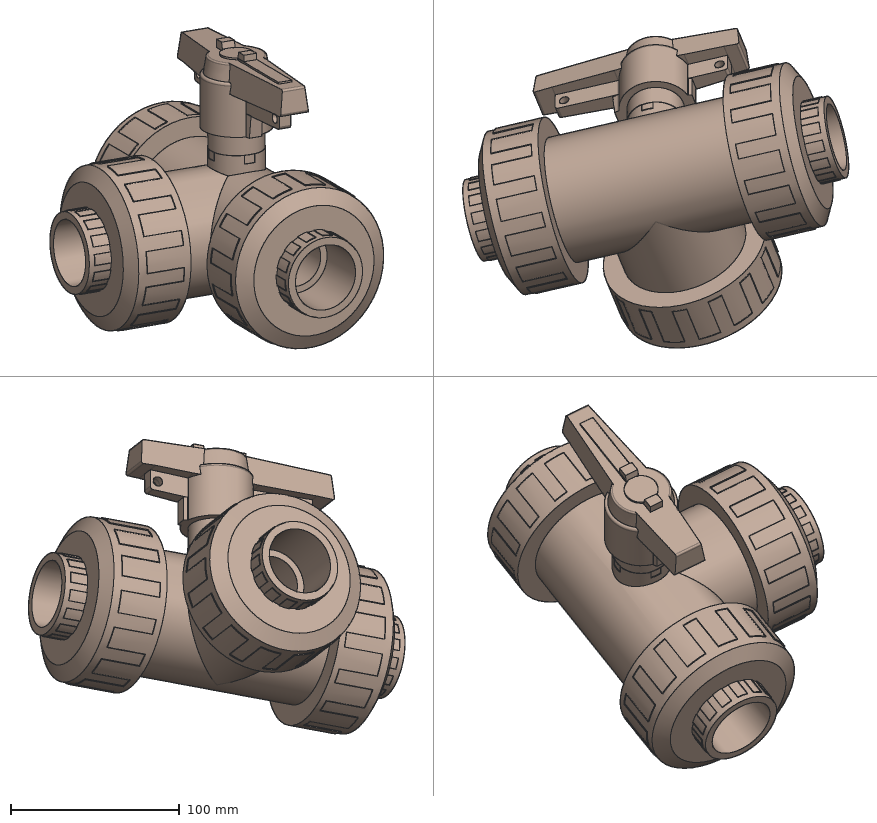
import cadquery as cq


port_reach = 112.0
body_radius = 38.0
bore_radius = 16.0
socket_radius = 20.2
socket_depth = 35.8
port_angles = (0, 90, 180)
overlap = 2.2

nut_radius = 49.7
nut_grip_radius = 50.5
nut_face_radius = 40.3
nut_back = 57.3
nut_slot_start = 61.5
nut_grip_end = 86.7
nut_chamfer_start = 92.0
nut_face = 97.5

spigot_radius = 24.9
pad_radius = 25.3
pad_end = 108.5

grip_count = 14
grip_pitch = 360 / grip_count
tooth_angle = 0.6 * grip_pitch
slot_angle = grip_pitch - tooth_angle
grip_turn = tooth_angle / 2

neck_radius = 17.0
collar_radius = 17.2
collar_top = 48.8
window_width = 7.0
window_height = 5.4
window_floor_radius = 16.8

hub_radius = 21.7
hub_bottom = 61.8
hub_top = 95.5
hub_rounding = 1.8
crown_base_radius = 19.7
crown_top_radius = 18.0
crown_rounding = 1.1

arm_top = 106.5
arm_end_bottom = 90.0
arm_mid_bottom = 88.7
arm_end_rounding = 1.3
left_end_bottom_x = -54.9
left_end_top_x = -53.3
right_end_bottom_x = 73.2
right_end_top_x = 72.0
left_half_width = 10.8
mid_half_width = 14.8
right_half_width = 9.6
side_draft = 2.2

fin_end_thickness = 7.6
fin_root_thickness = 9.9
fin_left = -45.7
fin_right = 61.2
fin_end_bottom = 77.7
fin_root_bottom = 76.4
fin_leg_left = -23.7
fin_leg_right = 25.5
fin_leg_right_bottom = 24.2
fin_rounding = 1.8
lock_hole_radius = 3.0
lock_hole_z = 83.3
lock_hole_xs = (-40.8, 55.5)

button_radius = 10.0
button_top = 107.5
strip_width = 9.0
lug_top = 111.5
lug_outer = 17.2
lug_top_inner = 10.8
lug_bottom_inner = 9.5
lug_width = 8.5


def cylinder(radius, bottom, top):
    return cq.Workplane("XY").workplane(offset=bottom).circle(radius).extrude(top - bottom)


def revolve_about_x(points, angle=360):
    """Revolve an (x, radius) outline about the X axis, starting from +Z."""
    return cq.Workplane("XZ").polyline(points).close().revolve(angle, (0, 0, 0), (1, 0, 0))


def grip_sectors(start, end, inner, outer, angle, middle):
    """Ring sectors between two distances along -X, the first one centred at the angle `middle`."""
    outline = [(-start, inner), (-end, inner), (-end, outer), (-start, outer)]
    sector = revolve_about_x(outline, angle)
    sectors = cq.Workplane("XY")
    for i in range(grip_count):
        turn = middle - angle / 2 + i * grip_pitch
        sectors = sectors.add(sector.rotate((0, 0, 0), (1, 0, 0), turn))
    return sectors.combine()


def union_nut():
    core = revolve_about_x([
        (-nut_back, 0),
        (-nut_back, nut_radius),
        (-nut_chamfer_start, nut_radius),
        (-nut_face, nut_face_radius),
        (-nut_face, 0),
    ])
    ring_inner = nut_radius - overlap
    slot_inner = ring_inner - overlap
    slot_outer = nut_grip_radius + overlap
    ring = revolve_about_x([
        (-nut_back, ring_inner),
        (-nut_back, nut_grip_radius),
        (-nut_grip_end, nut_grip_radius),
        (-nut_grip_end, ring_inner),
    ])
    slot_end = nut_grip_end + overlap
    slots = grip_sectors(nut_slot_start, slot_end, slot_inner, slot_outer, slot_angle, grip_pitch / 2)
    nut = core.union(ring.cut(slots))
    return nut.rotate((0, 0, 0), (1, 0, 0), grip_turn)


def spigot():
    tube = revolve_about_x([
        (-nut_back, 0),
        (-nut_back, spigot_radius),
        (-port_reach, spigot_radius),
        (-port_reach, 0),
    ])
    pad_root = spigot_radius - overlap
    pads = grip_sectors(nut_chamfer_start, pad_end, pad_root, pad_radius, tooth_angle, 0)
    return tube.union(pads).rotate((0, 0, 0), (1, 0, 0), grip_turn)


def port_hollow():
    return revolve_about_x([
        (0, 0),
        (0, bore_radius),
        (socket_depth - port_reach, bore_radius),
        (socket_depth - port_reach, socket_radius),
        (-port_reach, socket_radius),
        (-port_reach, 0),
    ])


def at_each_port(shape):
    ports = [shape.rotate((0, 0, 0), (0, 0, 1), angle) for angle in port_angles]
    return ports[0].union(ports[1]).union(ports[2])


def tee_body():
    limb = revolve_about_x([(0, 0), (0, body_radius), (-nut_back, body_radius), (-nut_back, 0)])
    return at_each_port(limb)


def stem_neck():
    neck = cylinder(neck_radius, 0, hub_bottom)
    collar = cylinder(collar_radius, 0, collar_top)
    window = (
        cq.Workplane("XY")
        .box(2 * hub_radius, window_width, window_height)
        .translate((0, 0, collar_top - window_height / 2))
    )
    windows = window.union(window.rotate((0, 0, 0), (0, 0, 1), 90))
    windows = windows.cut(cylinder(window_floor_radius, 0, hub_bottom))
    return collar.union(neck).cut(windows)


def handle_hub():
    barrel = cylinder(hub_radius, hub_bottom, hub_top).faces(">Z").edges().fillet(hub_rounding)
    crown = (
        cq.Workplane("XY").workplane(offset=hub_top).circle(crown_base_radius)
        .workplane(offset=arm_top - hub_top).circle(crown_top_radius)
        .loft()
        .faces(">Z").edges().fillet(crown_rounding)
    )
    return barrel.union(crown)


def arm_outline(half_width_change):
    """Plan outline of the two arms, widest at the hub."""
    left = left_half_width + half_width_change
    mid = mid_half_width + half_width_change
    right = right_half_width + half_width_change
    return [
        (left_end_bottom_x, -left), (0, -mid), (right_end_bottom_x, -right),
        (right_end_bottom_x, right), (0, mid), (left_end_bottom_x, left),
    ]


def handle_arms():
    drafted = (
        cq.Workplane("XY").workplane(offset=arm_mid_bottom).polyline(arm_outline(0)).close()
        .workplane(offset=arm_top - arm_mid_bottom).polyline(arm_outline(-side_draft)).close()
        .loft(ruled=True)
    )
    profile = (
        cq.Workplane("XZ")
        .polyline([
            (left_end_bottom_x, arm_end_bottom),
            (fin_left, arm_end_bottom),
            (-hub_radius, arm_mid_bottom),
            (hub_radius, arm_mid_bottom),
            (fin_right, arm_end_bottom),
            (right_end_bottom_x, arm_end_bottom),
            (right_end_top_x, arm_top),
            (left_end_top_x, arm_top),
        ])
        .close()
        .extrude(2 * mid_half_width, both=True)
        .edges("|Y").edges("<X or >X or >Z").fillet(arm_end_rounding)
    )
    return drafted.intersect(profile)


def tapered_column(left, right):
    """Tall plate along X that thickens from both ends toward the hub."""
    end = fin_end_thickness / 2
    root = fin_root_thickness / 2
    plan = [
        (left, -end), (-hub_radius, -root), (hub_radius, -root), (right, -end),
        (right, end), (hub_radius, root), (-hub_radius, root), (left, end),
    ]
    return cq.Workplane("XY").polyline(plan).close().extrude(arm_top)


def side_plate(outline):
    """Plate with the given (x, z) outline, at least as thick as the fin."""
    return cq.Workplane("XZ").polyline(outline).close().extrude(fin_root_thickness, both=True)


def handle_fin():
    fin_top = arm_top - overlap
    wing = side_plate([
        (fin_left, fin_top),
        (fin_left, fin_end_bottom),
        (fin_leg_left, fin_root_bottom),
        (fin_leg_right, fin_root_bottom),
        (fin_right, fin_end_bottom),
        (fin_right, fin_top),
    ])
    wing_corners = cq.selectors.BoxSelector(
        (fin_left - overlap, -fin_root_thickness, fin_end_bottom - fin_rounding / 2),
        (fin_right + overlap, fin_root_thickness, fin_end_bottom + fin_rounding / 2),
    )
    wing = wing.edges("|Y").edges(wing_corners).fillet(fin_rounding)
    wing = wing.intersect(tapered_column(fin_left, fin_right))
    holes = (
        cq.Workplane("XZ")
        .pushPoints([(x, lock_hole_z) for x in lock_hole_xs])
        .circle(lock_hole_radius)
        .extrude(fin_root_thickness, both=True)
    )
    leg = side_plate([
        (fin_leg_left, fin_root_bottom),
        (fin_leg_left, hub_bottom),
        (fin_leg_right_bottom, hub_bottom),
        (fin_leg_right, fin_root_bottom),
    ])
    leg = leg.intersect(tapered_column(fin_leg_left, fin_leg_right))
    return wing.cut(holes).union(leg)


def handle_top():
    button = cylinder(button_radius, hub_top, button_top)
    strip = (
        cq.Workplane("XY").workplane(offset=hub_top)
        .center((lug_top_inner + fin_right) / 2, 0)
        .rect(fin_right - lug_top_inner, strip_width)
        .extrude(button_top - hub_top)
    )
    lug = (
        cq.Workplane("XZ")
        .polyline([
            (lug_bottom_inner, arm_top),
            (lug_outer, arm_top),
            (lug_outer, lug_top),
            (lug_top_inner, lug_top),
        ])
        .close()
        .extrude(lug_width / 2, both=True)
    )
    return button.union(strip).union(lug).union(lug.mirror("YZ"))


valve = tee_body().union(at_each_port(union_nut())).union(at_each_port(spigot())).union(stem_neck())
valve = valve.cut(at_each_port(port_hollow()))
handle = handle_arms().union(handle_hub()).union(handle_fin()).union(handle_top())
result = valve.union(handle)